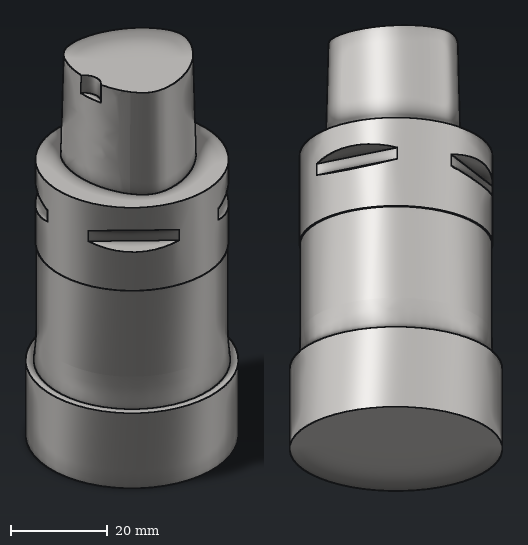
import cadquery as cq
import math

total_height = 90.0
shank_length = 24.0
collar_height = 20.0
base_height = 18.0
neck_flare_height = 7.5
collar_top = total_height - shank_length
collar_bottom = collar_top - collar_height

base_diameter = 44.0
neck_diameter = 39.7
collar_diameter = 40.0
flare_diameter = 40.7
collar_radius = collar_diameter / 2
collar_edge_chamfer = (collar_diameter - neck_diameter) / 2

shank_width = 28.0
shank_taper = 1 / 20
lobe_offset = 1.0
lobe_count = 3
segment_count = 2 * lobe_count
segment_steps = 8

notch_radius = 3.5
notch_width = 6.1
notch_reach = 10.8
notch_depth = 4.2

groove_count = 4
groove_start_angle = 45
groove_drop = 8.0
groove_depth = 2.3
groove_floor_height = 2.5
groove_side_angle = 30


def lobed_point(angle, width, height):
    """Point of a constant-width, three-lobed curve with one lobe on +Y.

    The curve is the envelope of its tangent lines; the normal at angle lies
    support away from the axis, and slope is the derivative of support.
    """
    phase = lobe_count * (angle - math.pi / 2)
    support = width / 2 + lobe_offset * math.cos(phase)
    slope = -lobe_count * lobe_offset * math.sin(phase)
    x = support * math.cos(angle) - slope * math.sin(angle)
    y = support * math.sin(angle) + slope * math.cos(angle)
    return cq.Vector(x, y, height)


def lobed_wire(width, height):
    """Closed outline of alternating lobe and flank curves, tangent at their joints."""
    span = 2 * math.pi / segment_count
    edges = []
    for segment in range(segment_count):
        start = segment * span
        angles = [start + span * step / segment_steps for step in range(segment_steps + 1)]
        points = [lobed_point(angle, width, height) for angle in angles]
        tangents = [cq.Vector(-math.sin(a), math.cos(a), 0) for a in (angles[0], angles[-1])]
        edges.append(cq.Edge.makeSpline(points, tangents=tangents))
    return cq.Wire.assembleEdges(edges)


def make_shank():
    """Tapered shank of lobed section, standing on the collar."""
    top_width = shank_width - shank_length * shank_taper
    lower = lobed_wire(shank_width, collar_top)
    upper = lobed_wire(top_width, total_height)
    return cq.Workplane(cq.Solid.makeLoft([lower, upper], True))


def make_notch():
    """Cutter with a round back and straight sides running out towards -Y."""
    half_width = notch_width / 2
    centre_y = -notch_reach - notch_radius
    side_y = centre_y + math.sqrt(notch_radius**2 - half_width**2)
    outer_y = -shank_width
    return (
        cq.Workplane("XY", origin=(0, 0, total_height - notch_depth))
        .moveTo(-half_width, outer_y)
        .lineTo(-half_width, side_y)
        .threePointArc((0, -notch_reach), (half_width, side_y))
        .lineTo(half_width, outer_y)
        .close()
        .extrude(notch_depth)
    )


def make_groove(angle):
    """Straight cutter with a flat floor and sloping sides, facing outward at angle."""
    floor_x = collar_radius - groove_depth
    outer_x = collar_radius + groove_depth
    half_floor = groove_floor_height / 2
    half_mouth = half_floor + (outer_x - floor_x) * math.tan(math.radians(groove_side_angle))
    profile = [
        (floor_x, -half_floor),
        (outer_x, -half_mouth),
        (outer_x, half_mouth),
        (floor_x, half_floor),
    ]
    return (
        cq.Workplane("XZ")
        .polyline(profile)
        .close()
        .extrude(collar_radius, both=True)
        .translate((0, 0, collar_top - groove_drop))
        .rotate((0, 0, 0), (0, 0, 1), angle)
    )


def make_coupling():
    """Collar with gripper grooves, carrying the notched shank."""
    coupling = (
        cq.Workplane("XY", origin=(0, 0, collar_bottom))
        .circle(collar_radius)
        .extrude(collar_height)
        .faces("<Z")
        .chamfer(collar_edge_chamfer)
        .union(make_shank())
        .cut(make_notch())
    )
    for index in range(groove_count):
        angle = groove_start_angle + index * 360 / groove_count
        coupling = coupling.cut(make_groove(angle))
    return coupling


def make_holder():
    """Turned body: wide base, flared foot tangent to the neck, plain neck."""
    base_radius = base_diameter / 2
    neck_radius = neck_diameter / 2
    flare_radius = flare_diameter / 2
    flare_top = base_height + neck_flare_height
    return (
        cq.Workplane("XZ")
        .moveTo(0, collar_bottom)
        .lineTo(neck_radius, collar_bottom)
        .lineTo(neck_radius, flare_top)
        .tangentArcPoint((flare_radius, base_height), relative=False)
        .lineTo(base_radius, base_height)
        .lineTo(base_radius, 0)
        .lineTo(0, 0)
        .close()
        .revolve(360, (0, 0, 0), (0, 1, 0))
    )


coupling = make_coupling()
holder = make_holder()
result = cq.Compound.makeCompound([coupling.solids().val(), holder.val()])